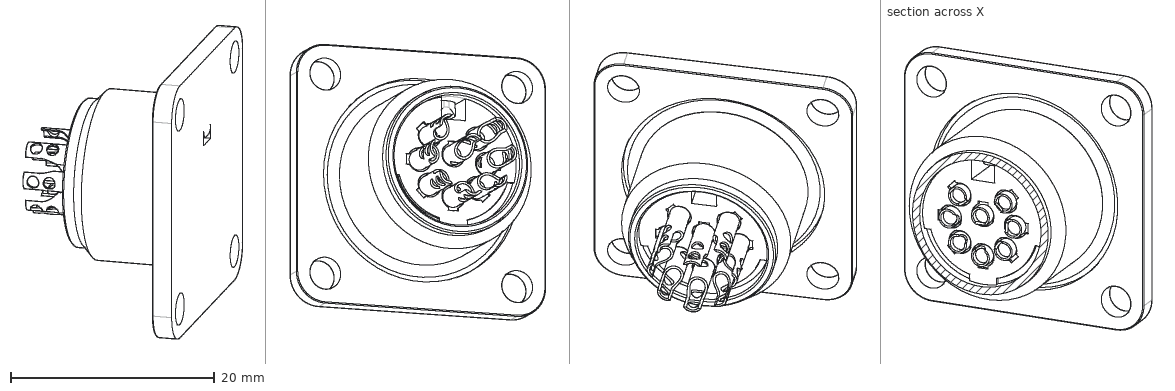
import cadquery as cq
import math


flange_size = 26
flange_thickness = 2.0
hole_offset = 10.0
hole_diameter = 3.2
corner_radius = flange_size / 2 - hole_offset
flange_edge_chamfer = 0.1

body_radius = 17.0 / 2
body_length = 10.5
rim_radius = 14.8 / 2
rim_start = 11.6
rim_end = 12.8
rim_chamfer = 0.18
bore_radius = 13.1 / 2

ring_section_radius = 1.2 / 2
ring_protrusion = 0.29
ring_overlap = 0.03
ring_radius = body_radius + ring_section_radius - ring_overlap
ring_x = -(flange_thickness + ring_protrusion - ring_section_radius)
groove_radius = 20.4 / 2
groove_floor = ring_x + ring_section_radius - ring_overlap

insert_recess = 1.2
insert_face = -(rim_end - insert_recess)
ledge_depth = 0.4
ledge_radius = 5.9
ledge_top = -1.66
ledge_gap_width = 2.9

slot_width = 2.52
slot_bottom = 4.25
key_bottom = 4.9
key_setback = 2.08
key_nose_radius = 1.01
key_corner_radius = 0.78
key_neck_width = 1.98
key_notch_bottom = 5.95
key_notch_length = 1.55

pin_tip = -17.6
pin_radius = 2.0 / 2
cup_radius = 1.5 / 2
cup_depth = 5.93
pin_circle_radius = 3.5
pin_angles = [0, 45, 135, 180, 225, 270, 315]
centre_pin_height = 0.7
centre_pin_angle = 90
cutaway_level = 0.5
cutaway_straight = 1.55
cutaway_arc_radius = 1.55
wire_hole_diameter = 1.2
wire_hole_distances = [1.01, 2.68]
vent_diameter = 1.0
vent_distance = 5.38

seat_radius = 2.4 / 2
seat_depth = 0.3
seat_tab_reach = 1.38
seat_tab_width = 1.07


def cylinder(start, end, radius):
    """Cylinder on the X axis between two x positions."""
    return cq.Workplane("YZ", origin=(start, 0, 0)).circle(radius).extrude(end - start)


def box(x_range, y_range, z_range):
    """Block spanning the given (low, high) pairs."""
    lows, highs = zip(x_range, y_range, z_range)
    sizes = [high - low for low, high in zip(lows, highs)]
    return cq.Workplane("XY").box(*sizes, centered=False).translate(lows)


def make_flange():
    flange = (
        cq.Workplane("YZ")
        .rect(flange_size, flange_size)
        .extrude(-flange_thickness)
        .edges("|X")
        .fillet(corner_radius)
        .faces("<X")
        .chamfer(flange_edge_chamfer)
    )
    holes = (
        cq.Workplane("YZ")
        .rect(2 * hole_offset, 2 * hole_offset, forConstruction=True)
        .vertices()
        .circle(hole_diameter / 2)
        .extrude(-flange_thickness)
    )
    groove = cylinder(-flange_thickness, groove_floor, groove_radius)
    return flange.cut(holes).cut(groove)


def make_shell():
    """Stepped barrel, closed by the insert face inside its rim."""
    profile = [
        (0, 0),
        (0, body_radius),
        (-body_length, body_radius),
        (-rim_start, rim_radius),
        (-rim_end + rim_chamfer, rim_radius),
        (-rim_end, rim_radius - rim_chamfer),
        (-rim_end, bore_radius + rim_chamfer),
        (-rim_end + rim_chamfer, bore_radius),
        (insert_face, bore_radius),
        (insert_face, 0),
    ]
    return cq.Workplane("XY").polyline(profile).close().revolve(360, (0, 0, 0), (1, 0, 0))


def make_sealing_ring():
    return (
        cq.Workplane("XY")
        .center(ring_x, ring_radius)
        .circle(ring_section_radius)
        .revolve(360, (0, -ring_radius, 0), (1, -ring_radius, 0))
    )


def make_ledges():
    """Two lowered steps along the lower edge of the insert."""
    ledge_end = insert_face + ledge_depth
    band = cylinder(insert_face, ledge_end, bore_radius).cut(cylinder(insert_face, ledge_end, ledge_radius))
    x_range = (insert_face, ledge_end)
    lower_part = box(x_range, (-bore_radius, bore_radius), (-bore_radius, ledge_top))
    gap = box(x_range, (-ledge_gap_width / 2, ledge_gap_width / 2), (-bore_radius, 0))
    return band.intersect(lower_part).cut(gap)


def make_key():
    """Rib under the top of the slot. Its rounded nose faces -X and narrows to a neck above."""
    half_width = slot_width / 2
    nose = insert_face + key_setback
    block = box((nose, 0), (-half_width, half_width), (key_bottom, bore_radius))
    rounded_section = block.edges("|X and <Z").fillet(key_corner_radius)
    rounded_plan = block.edges("|Z and <X").fillet(key_nose_radius)
    rounded_side = block.edges("|Y and <X and <Z").fillet(key_nose_radius)
    key = rounded_section.intersect(rounded_plan).intersect(rounded_side)
    notch_x_range = (nose, nose + key_notch_length)
    notch_z_range = (key_notch_bottom, bore_radius)
    notches = box(notch_x_range, (-half_width, half_width), notch_z_range).cut(
        box(notch_x_range, (-key_neck_width / 2, key_neck_width / 2), notch_z_range)
    )
    return key.cut(notches)


def make_slot():
    """Passage through the whole connector, leaving the key standing."""
    x_range = (insert_face, 0)
    slot = box(x_range, (-slot_width / 2, slot_width / 2), (slot_bottom, bore_radius))
    return slot.intersect(cylinder(insert_face, 0, bore_radius)).cut(make_key())


def make_pin_seat():
    """Ring-shaped recess with an outward tab, for a pin on the X axis whose outward side is +Y."""
    seat_end = insert_face + seat_depth
    tab = box((insert_face, seat_end), (0, seat_tab_reach), (-seat_tab_width / 2, seat_tab_width / 2))
    return cylinder(insert_face, seat_end, seat_radius).union(tab)


def make_pin():
    """Solder cup on the X axis. Only its outward wall, on the +Y side, reaches the tip.

    Two wire holes pierce the outward wall and a vent pierces the inward wall near the cup's floor.
    """
    pin = cylinder(pin_tip, insert_face + seat_depth, pin_radius)
    cup = cylinder(pin_tip, pin_tip + cup_depth, cup_radius)
    arc_start = pin_tip + cutaway_straight
    arc_end = arc_start + cutaway_arc_radius
    arc_bottom = cutaway_level - cutaway_arc_radius
    arc_middle = (
        arc_start + cutaway_arc_radius * math.sin(math.pi / 4),
        arc_bottom + cutaway_arc_radius * math.cos(math.pi / 4),
    )
    cutaway = (
        cq.Workplane("XY")
        .moveTo(pin_tip, cutaway_level)
        .lineTo(arc_start, cutaway_level)
        .threePointArc(arc_middle, (arc_end, arc_bottom))
        .lineTo(pin_tip, arc_bottom)
        .close()
        .extrude(pin_radius, both=True)
    )
    wire_holes = (
        cq.Workplane("XZ")
        .pushPoints([(pin_tip + distance, 0) for distance in wire_hole_distances])
        .circle(wire_hole_diameter / 2)
        .extrude(-pin_radius)
    )
    vent = (
        cq.Workplane("XZ")
        .center(pin_tip + vent_distance, 0)
        .circle(vent_diameter / 2)
        .extrude(pin_radius)
    )
    return pin.cut(cup).cut(cutaway).cut(wire_holes).cut(vent)


def place_at_pins(shape):
    """Copies of a pin feature at every pin, each turned to face outward."""
    copies = [
        shape.translate((0, pin_circle_radius, 0)).rotate((0, 0, 0), (1, 0, 0), angle)
        for angle in pin_angles
    ]
    centre_copy = shape.rotate((0, 0, 0), (1, 0, 0), centre_pin_angle)
    return copies + [centre_copy.translate((0, 0, centre_pin_height))]


result = make_flange().union(make_shell()).union(make_sealing_ring())
result = result.cut(make_ledges()).cut(make_slot())
for seat in place_at_pins(make_pin_seat()):
    result = result.cut(seat)
for pin in place_at_pins(make_pin()):
    result = result.union(pin)